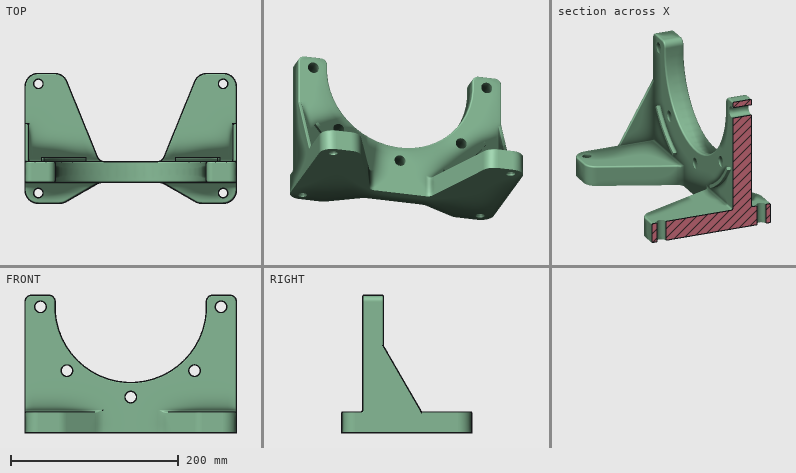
import cadquery as cq
import math

HALF_WIDTH = 126.0
PLATE_THICKNESS = 25.0
PLATE_HEIGHT = 164.0
BASE_HEIGHT = 25.0
FRONT_REACH = 25.0
REAR_REACH = 105.0
EDGE_ROUND = 2.0

BORE_CENTER_Z = 150.0
BORE_RADIUS = 90.0
POST_CORNER_RADIUS = 8.0

BOLT_DIAMETER = 13.5
BOLT_CIRCLE_RADIUS = 107.5
BOLT_ANGLES = (0, 45, 90, 135, 180)

FOOT_CORNER_RADIUS = 16.0
FRONT_BLEND_RADIUS = 16.0
REAR_BLEND_RADIUS = 8.0
FRONT_FOOT_SLANT = math.radians(30)
FRONT_FOOT_WIDTH = 45.4
REAR_FOOT_WIDTH = 46.0
FOOT_HOLE_DIAMETER = 11.0
FOOT_HOLE_INSET_X = 16.0
FOOT_HOLE_INSET_Y = 12.5

GUSSET_THICKNESS = 4.0
GUSSET_REACH = 45.0
GUSSET_ANGLE = math.radians(60)
GUSSET_EDGE_ROUND = 1.0

RIB_INNER_RADIUS = 126.0
RIB_OUTER_RADIUS = 130.0
RIB_HEIGHT = 5.0
RIB_START_ANGLE = math.radians(25)
RIB_END_ANGLE = math.radians(55)

PLATE_BACK = PLATE_THICKNESS
FRONT_END = -FRONT_REACH
REAR_END = PLATE_BACK + REAR_REACH
GUSSET_TOP = BASE_HEIGHT + GUSSET_REACH * math.tan(GUSSET_ANGLE)
TOLERANCE = 0.01


def both_sides(left):
    return left.union(left.mirror("YZ"))


def vertical_edges(solid, points):
    """Pick the vertical edges that stand on the given (x, y) points."""
    def stands_on_point(edge):
        center = edge.Center()
        return any(math.hypot(center.x - x, center.y - y) < TOLERANCE for x, y in points)

    edges = [edge for edge in solid.edges("|Z").vals() if stands_on_point(edge)]
    return solid.newObject(edges)


def make_base():
    """Plate footing with four slanted feet, all with rounded vertical corners."""
    front_tip = -HALF_WIDTH + FRONT_FOOT_WIDTH
    rear_tip = -HALF_WIDTH + REAR_FOOT_WIDTH
    root = front_tip + FRONT_REACH / math.tan(FRONT_FOOT_SLANT)
    left_outline = [
        (0, 0),
        (root, 0),
        (front_tip, FRONT_END),
        (-HALF_WIDTH, FRONT_END),
        (-HALF_WIDTH, REAR_END),
        (rear_tip, REAR_END),
        (root, PLATE_BACK),
        (0, PLATE_BACK),
    ]
    left = cq.Workplane("XY").polyline(left_outline).close().extrude(BASE_HEIGHT)
    foot_corners = left_outline[2:6]
    front_root = left_outline[1]
    rear_root = left_outline[6]
    left = vertical_edges(left, foot_corners).fillet(FOOT_CORNER_RADIUS)
    left = vertical_edges(left, [front_root]).fillet(FRONT_BLEND_RADIUS)
    left = vertical_edges(left, [rear_root]).fillet(REAR_BLEND_RADIUS)
    return both_sides(left)


def make_plate():
    """Upright plate with the open saddle and rounded post corners."""
    opening_half_width = math.sqrt(BORE_RADIUS**2 - (PLATE_HEIGHT - BORE_CENTER_Z) ** 2)
    plate = (
        cq.Workplane("XZ")
        .moveTo(-HALF_WIDTH, 0)
        .lineTo(HALF_WIDTH, 0)
        .lineTo(HALF_WIDTH, PLATE_HEIGHT)
        .lineTo(opening_half_width, PLATE_HEIGHT)
        .threePointArc((0, BORE_CENTER_Z - BORE_RADIUS), (-opening_half_width, PLATE_HEIGHT))
        .lineTo(-HALF_WIDTH, PLATE_HEIGHT)
        .close()
        .extrude(-PLATE_THICKNESS)
    )
    post_corners = plate.faces(">Z").edges("|Y")
    return post_corners.fillet(POST_CORNER_RADIUS)


def make_left_gusset(thickness):
    return (
        cq.Workplane("YZ", origin=(-HALF_WIDTH, 0, 0))
        .moveTo(PLATE_BACK, BASE_HEIGHT)
        .lineTo(PLATE_BACK + GUSSET_REACH, BASE_HEIGHT)
        .lineTo(PLATE_BACK, GUSSET_TOP)
        .close()
        .extrude(thickness)
    )


def make_gussets():
    return both_sides(make_left_gusset(GUSSET_THICKNESS))


def make_gusset_seam_fillets():
    """Concave fillets along the foot of each gusset's inner face, ending under its slope."""
    radius = GUSSET_EDGE_ROUND
    inner_face = -HALF_WIDTH + GUSSET_THICKNESS
    arc_depth = radius * (1 - math.sqrt(0.5))
    strip = (
        cq.Workplane("XZ", origin=(0, PLATE_BACK, 0))
        .moveTo(inner_face, BASE_HEIGHT)
        .lineTo(inner_face + radius, BASE_HEIGHT)
        .threePointArc(
            (inner_face + arc_depth, BASE_HEIGHT + arc_depth),
            (inner_face, BASE_HEIGHT + radius),
        )
        .close()
        .extrude(-GUSSET_REACH)
    )
    return both_sides(strip.intersect(make_left_gusset(GUSSET_THICKNESS + radius)))


def edges_in_box(solid, x_range, y_range, z_range):
    """Pick the edges that lie wholly inside the box, on both sides of the symmetry plane."""
    def inside(edge):
        box = edge.BoundingBox()
        near_x = min(abs(box.xmin), abs(box.xmax))
        far_x = max(abs(box.xmin), abs(box.xmax))
        spans = (
            (near_x, far_x, x_range),
            (box.ymin, box.ymax, y_range),
            (box.zmin, box.zmax, z_range),
        )
        return all(
            low > limits[0] - TOLERANCE and high < limits[1] + TOLERANCE
            for low, high, limits in spans
        )

    return solid.newObject([edge for edge in solid.edges().vals() if inside(edge)])


def round_front(body):
    """Fillet the foot-to-plate seams, then round the outline of the plate front and front feet."""
    at_front = (0, 0)
    at_foot_top = (BASE_HEIGHT, BASE_HEIGHT)
    full_width = (0, HALF_WIDTH)
    seams = edges_in_box(body, full_width, at_front, at_foot_top)
    body = seams.fillet(EDGE_ROUND)
    post_tops = edges_in_box(body, full_width, at_front, (PLATE_HEIGHT, PLATE_HEIGHT))
    return post_tops.fillet(EDGE_ROUND)


def round_back(body):
    """Fillet the foot-to-plate seams behind the plate, then round the plate back, rear feet and gussets."""
    at_back = (PLATE_BACK, PLATE_BACK)
    at_foot_top = (BASE_HEIGHT, BASE_HEIGHT)
    full_width = (0, HALF_WIDTH)
    inner_face = HALF_WIDTH - GUSSET_THICKNESS
    plate_seams = edges_in_box(body, (0, inner_face), at_back, at_foot_top)
    body = plate_seams.fillet(EDGE_ROUND)

    post_tops = edges_in_box(body, full_width, at_back, (PLATE_HEIGHT, PLATE_HEIGHT))
    foot_ends = edges_in_box(body, full_width, (REAR_END, REAR_END), at_foot_top)
    body = post_tops.add(foot_ends).fillet(EDGE_ROUND)

    slope_direction = cq.Vector(0, -math.cos(GUSSET_ANGLE), math.sin(GUSSET_ANGLE))
    slopes = body.edges(cq.selectors.ParallelDirSelector(slope_direction))
    return slopes.fillet(GUSSET_EDGE_ROUND)


def make_locating_ribs():
    """Arc ribs on the plate back, concentric with the saddle."""
    def polar(radius, angle):
        return (-radius * math.sin(angle), BORE_CENTER_Z - radius * math.cos(angle))

    middle_angle = (RIB_START_ANGLE + RIB_END_ANGLE) / 2
    left = (
        cq.Workplane("XZ", origin=(0, PLATE_BACK, 0))
        .moveTo(*polar(RIB_INNER_RADIUS, RIB_START_ANGLE))
        .threePointArc(polar(RIB_INNER_RADIUS, middle_angle), polar(RIB_INNER_RADIUS, RIB_END_ANGLE))
        .lineTo(*polar(RIB_OUTER_RADIUS, RIB_END_ANGLE))
        .threePointArc(polar(RIB_OUTER_RADIUS, middle_angle), polar(RIB_OUTER_RADIUS, RIB_START_ANGLE))
        .close()
        .extrude(-RIB_HEIGHT)
    )
    return both_sides(left)


def make_bolt_holes():
    centers = [
        (
            BOLT_CIRCLE_RADIUS * math.cos(math.radians(angle)),
            BORE_CENTER_Z - BOLT_CIRCLE_RADIUS * math.sin(math.radians(angle)),
        )
        for angle in BOLT_ANGLES
    ]
    holes = cq.Workplane("XZ").pushPoints(centers).circle(BOLT_DIAMETER / 2)
    return holes.extrude(-PLATE_THICKNESS)


def make_foot_holes():
    hole_x = HALF_WIDTH - FOOT_HOLE_INSET_X
    rows = (FRONT_END + FOOT_HOLE_INSET_Y, REAR_END - FOOT_HOLE_INSET_Y)
    centers = [(side * hole_x, y) for side in (-1, 1) for y in rows]
    holes = cq.Workplane("XY").pushPoints(centers).circle(FOOT_HOLE_DIAMETER / 2)
    return holes.extrude(BASE_HEIGHT)


body = make_base().union(make_plate()).union(make_gussets()).clean()
body = round_back(round_front(body))
body = body.union(make_gusset_seam_fillets()).union(make_locating_ribs())
result = body.cut(make_bolt_holes()).cut(make_foot_holes())